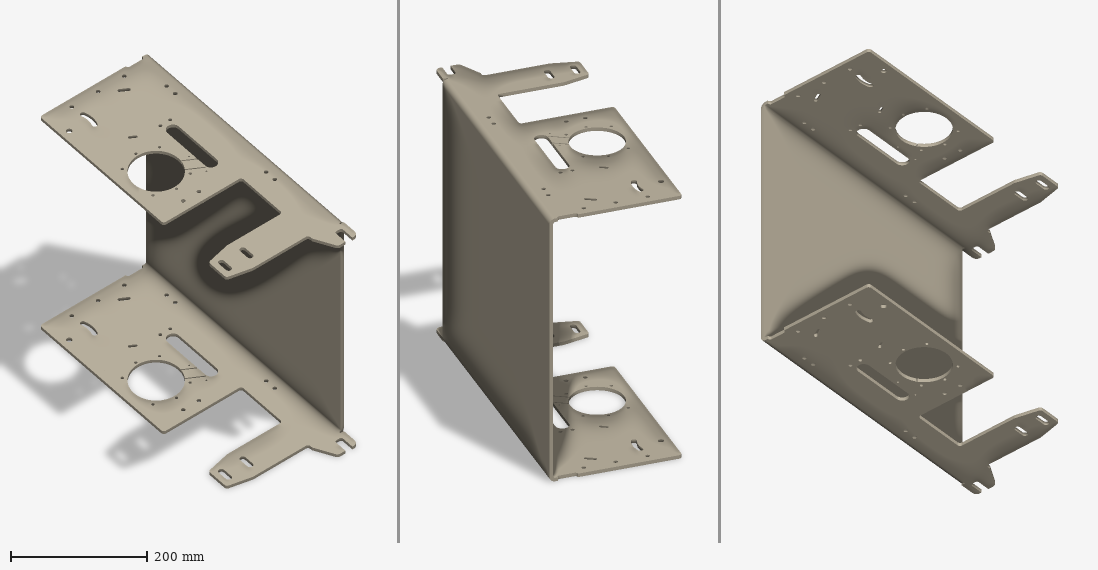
import cadquery as cq
import math

LENGTH = 485.0
DEPTH = 208.0
HEIGHT = 442.0
THICKNESS = 6.0
BEND_RADIUS = 8.5
WALL_LENGTH = 449.5
CUT_HEIGHT = 2 * HEIGHT

PANEL_RIGHT = 285.5
ARM_LEFT = 380.0
ARM_RIGHT = 440.5
NECK_Y = -59.5
TAPER_Y = -165.0
TAPER_INSET = 9.5
CORNER_FILLET = 5.0
TAIL_BACK_Y = -2.0
TAIL_SLANT_START_X = 448.5
TAIL_SLANT_END_Y = -40.0
TAIL_FILLET = 8.0

RELIEF_WIDTH = 2.5

TAIL_SLOT_X = 460.0
TAIL_SLOT_Y = -19.5
TAIL_SLOT_WIDTH = 13.0
TAIL_SLOT_FILLET = 4.0

NOTCH_TOP = -13.0
NOTCH_BOTTOM = -44.5
NOTCH_DEPTH = 4.5
NOTCH_FILLET = 4.0

HOLE_DIAMETER = 7.0
HOLE_CENTERS = (
    [(x, -24.2) for x in (70.0, 89.5, 299.5, 319.5)]
    + [(14.5, y) for y in (-59.0, -109.0, -159.0)]
    + [(268.0, y) for y in (-126.0, -156.0)]
)
PIN_DIAMETER = 6.0
PIN_CENTERS = [(127.0, y) for y in (-64.5, -83.5)]

OPENING_X = 196.0
OPENING_Y = -148.0
OPENING_RADIUS = 42.0
SCREW_DIAMETER = 5.0
SCREW_SIDE_OFFSET = 47.0
SCREW_SQUARE = 71.0

WINDOW_X = 189.0
WINDOW_Y = -74.0
WINDOW_LENGTH = 108.5
WINDOW_WIDTH = 21.5

GROOVES_X = 219.0
GROOVES_Y = -96.0
GROOVE_ANGLE = 60
GROOVE_SPACING = 19.0
GROOVE_LENGTH = 34.0
GROOVE_WIDTH = 2.0
GROOVE_FLOOR = 1.0

CLAMP_DIAMETER = 3.0
CLAMP_CENTERS = [(x, -91.0) for x in (203.0, 243.0)]

PIVOT_X = 50.5
PIVOT_Y = -193.5
PIVOT_DIAMETER = 9.0
CURVED_SLOT_RADIUS = 40.0
CURVED_SLOT_HALF_ANGLE = 20
CURVED_SLOT_WIDTH = 8.5

STRAIGHT_SLOTS = [
    (36.5, -77.5, 19.5, 6.0, 60),
    (119.5, -129.5, 14.5, 5.0, 60),
    (410.5, -153.0, 26.0, 9.5, 0),
    (410.5, -193.5, 26.0, 9.5, 0),
]


def channel_body():
    """U section of the back wall, both bends and the inner part of the flanges."""
    outer = cq.Workplane("YZ").rect(2 * DEPTH, HEIGHT).extrude(WALL_LENGTH)
    outer = outer.edges("|X and >Y").fillet(BEND_RADIUS)
    inner = cq.Workplane("YZ").rect(2 * DEPTH, HEIGHT - 2 * THICKNESS).extrude(WALL_LENGTH)
    inner = inner.edges("|X and >Y").fillet(BEND_RADIUS - THICKNESS)
    body = outer.translate((0, -DEPTH, 0)).cut(inner.translate((0, -DEPTH - THICKNESS, 0)))
    keep = cq.Workplane("XY").box(LENGTH, BEND_RADIUS, HEIGHT, centered=(False, False, True))
    return body.intersect(keep.translate((0, -BEND_RADIUS, 0)))


def flange_plate():
    """One flat flange in front of the bend; its tail reaches back past the wall end."""
    plate = (
        cq.Workplane("XY")
        .moveTo(0, -BEND_RADIUS)
        .lineTo(0, -DEPTH)
        .lineTo(PANEL_RIGHT, -DEPTH)
        .lineTo(PANEL_RIGHT, NECK_Y)
        .lineTo(ARM_LEFT, NECK_Y)
        .lineTo(ARM_LEFT, TAPER_Y)
        .lineTo(ARM_LEFT + TAPER_INSET, -DEPTH)
        .lineTo(ARM_RIGHT - TAPER_INSET, -DEPTH)
        .lineTo(ARM_RIGHT, TAPER_Y)
        .lineTo(ARM_RIGHT, NECK_Y)
        .lineTo(TAIL_SLANT_START_X, NECK_Y)
        .lineTo(LENGTH, TAIL_SLANT_END_Y)
        .lineTo(LENGTH, TAIL_BACK_Y)
        .lineTo(WALL_LENGTH + RELIEF_WIDTH, TAIL_BACK_Y)
        .lineTo(WALL_LENGTH + RELIEF_WIDTH, -BEND_RADIUS)
        .close()
        .extrude(THICKNESS)
    )
    plate = plate.edges("|Z and <Y").fillet(CORNER_FILLET)
    neck_corners = cq.selectors.BoxSelector(
        (PANEL_RIGHT - CORNER_FILLET, NECK_Y - CORNER_FILLET, 0),
        (ARM_RIGHT + CORNER_FILLET, NECK_Y + CORNER_FILLET, THICKNESS),
    )
    plate = plate.edges("|Z").edges(neck_corners).fillet(CORNER_FILLET)
    return plate.edges("|Z and >X").fillet(TAIL_FILLET)


def cylinders(centers, diameter):
    """Round cutters through both flanges."""
    sketch = cq.Workplane("XY").pushPoints(centers).circle(diameter / 2)
    return sketch.extrude(CUT_HEIGHT / 2, both=True)


def slot(x, y, length, width, angle):
    """Round-ended cutter through both flanges."""
    tool = cq.Workplane("XY").slot2D(length, width, angle).extrude(CUT_HEIGHT / 2, both=True)
    return tool.translate((x, y, 0))


def curved_slot():
    """Slot that follows an arc around the pivot hole."""
    half_width = CURVED_SLOT_WIDTH / 2

    def at(radius, degrees):
        angle = math.radians(90 + degrees)
        return PIVOT_X + radius * math.cos(angle), PIVOT_Y + radius * math.sin(angle)

    inner = CURVED_SLOT_RADIUS - half_width
    outer = CURVED_SLOT_RADIUS + half_width
    span = CURVED_SLOT_HALF_ANGLE
    cap = span + math.degrees(half_width / CURVED_SLOT_RADIUS)
    return (
        cq.Workplane("XY")
        .moveTo(*at(inner, -span))
        .threePointArc(at(inner, 0), at(inner, span))
        .threePointArc(at(CURVED_SLOT_RADIUS, cap), at(outer, span))
        .threePointArc(at(outer, 0), at(outer, -span))
        .threePointArc(at(CURVED_SLOT_RADIUS, -cap), at(inner, -span))
        .close()
        .extrude(CUT_HEIGHT / 2, both=True)
    )


def edge_notch():
    """Notch in the left edge, cut through both flanges."""
    width = NOTCH_TOP - NOTCH_BOTTOM
    tool = cq.Workplane("XY").box(2 * NOTCH_DEPTH, width, CUT_HEIGHT)
    tool = tool.edges("|Z and >X").fillet(NOTCH_FILLET)
    return tool.translate((0, NOTCH_BOTTOM + width / 2, 0))


def tail_slot():
    """Slot open to the right end, with rounded inner corners."""
    length = 2 * (LENGTH - TAIL_SLOT_X)
    tool = cq.Workplane("XY").box(length, TAIL_SLOT_WIDTH, CUT_HEIGHT)
    tool = tool.edges("|Z and <X").fillet(TAIL_SLOT_FILLET)
    return tool.translate((LENGTH, TAIL_SLOT_Y, 0))


def grooves(flange_z):
    """Pair of grooves sunk into the upper face of the flange whose lower face is at flange_z."""
    pair = (
        cq.Workplane("XY")
        .pushPoints([(0, side * GROOVE_SPACING / 2) for side in (-1, 1)])
        .rect(GROOVE_LENGTH, GROOVE_WIDTH)
        .extrude(THICKNESS - GROOVE_FLOOR)
        .rotate((0, 0, 0), (0, 0, 1), GROOVE_ANGLE)
    )
    return pair.translate((GROOVES_X, GROOVES_Y, flange_z + GROOVE_FLOOR))


def screw_centers():
    """Two holes beside the opening and four on the corners of a square around it."""
    centers = []
    for x_side in (-1, 1):
        centers.append((OPENING_X + x_side * SCREW_SIDE_OFFSET, OPENING_Y))
        for y_side in (-1, 1):
            corner_x = OPENING_X + x_side * SCREW_SQUARE / 2
            corner_y = OPENING_Y + y_side * SCREW_SQUARE / 2
            centers.append((corner_x, corner_y))
    return centers


lower_z = -HEIGHT / 2
upper_z = HEIGHT / 2 - THICKNESS
result = channel_body()
for z in (lower_z, upper_z):
    result = result.union(flange_plate().translate((0, 0, z)))
    result = result.cut(grooves(z))

for centers, diameter in (
    (HOLE_CENTERS, HOLE_DIAMETER),
    (PIN_CENTERS, PIN_DIAMETER),
    (screw_centers(), SCREW_DIAMETER),
    (CLAMP_CENTERS, CLAMP_DIAMETER),
    ([(PIVOT_X, PIVOT_Y)], PIVOT_DIAMETER),
    ([(OPENING_X, OPENING_Y)], 2 * OPENING_RADIUS),
):
    result = result.cut(cylinders(centers, diameter))
for straight_slot in STRAIGHT_SLOTS:
    result = result.cut(slot(*straight_slot))
result = result.cut(slot(WINDOW_X, WINDOW_Y, WINDOW_LENGTH, WINDOW_WIDTH, 0))
result = result.cut(curved_slot()).cut(edge_notch()).cut(tail_slot())